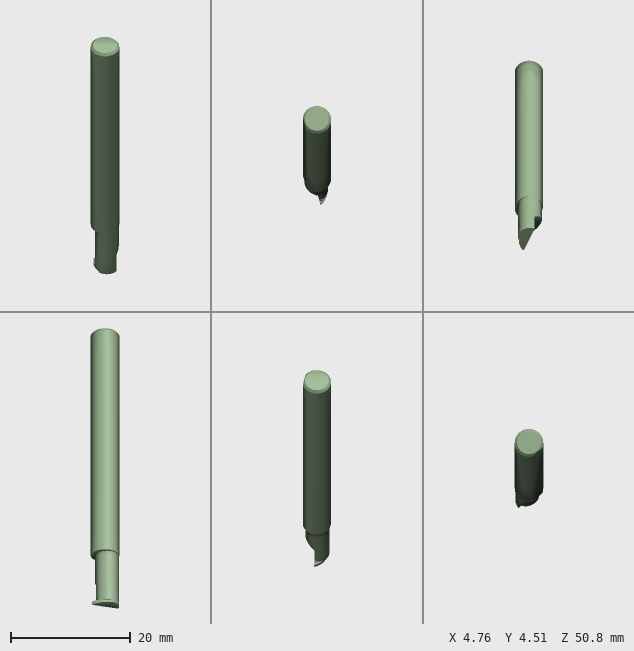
import cadquery as cq
import math

total_length = 50.79
shank_diameter = 4.76
shank_depth = 4.51
shank_chamfer = 0.4
shank_radius = shank_diameter / 2
flat_y = shank_depth - shank_radius

neck_length = 9.55
neck_diameter = 4.0
neck_radius = neck_diameter / 2
neck_x = shank_radius - neck_radius

rake_face_height = 3.75
runout_angle = 45

tooth_tip_x = -shank_radius
tooth_top_z = 0.6
tooth_corner = 0.18
low_corner_x = tooth_tip_x + tooth_corner
root_rise = 0.3
root_run = 0.25
root_depth = 0.7
bottom_slope_x = 1.5
bottom_slope_y = 2.0
clearance_start = math.radians(225)
flank_bulge = 0.1
bottom_cut_width = 3 * shank_diameter
outer_margin = 1.0


def make_shank():
    length = total_length - neck_length
    shank = cq.Workplane("XY").workplane(offset=neck_length).circle(shank_radius).extrude(length)
    shank = shank.faces(">Z").chamfer(shank_chamfer)
    flat_cut = (
        cq.Workplane("XY")
        .box(shank_diameter, shank_radius, total_length, centered=(True, False, False))
        .translate((0, flat_y, neck_length))
    )
    return shank.cut(flat_cut)


def make_neck():
    neck = cq.Workplane("XY").center(neck_x, 0).circle(neck_radius).extrude(neck_length)
    reach = neck_radius + outer_margin
    runout_top = rake_face_height + reach * math.tan(math.radians(runout_angle))
    rake_cut = (
        cq.Workplane("YZ")
        .polyline([(0, -outer_margin), (0, rake_face_height), (reach, runout_top), (reach, -outer_margin)])
        .close()
        .extrude(shank_diameter, both=True)
    )
    return neck.cut(rake_cut)


flank_end = (
    neck_x + neck_radius * math.cos(clearance_start),
    neck_radius * math.sin(clearance_start),
)
clearance_end = (neck_x, -neck_radius)


def make_clearance_cut():
    """Chord-shaped clearance on the back of the tooth."""
    return (
        cq.Workplane("XY")
        .moveTo(*flank_end)
        .lineTo(*clearance_end)
        .lineTo(clearance_end[0], clearance_end[1] - outer_margin)
        .lineTo(flank_end[0], clearance_end[1] - outer_margin)
        .close()
        .extrude(tooth_top_z)
    )


def make_tooth_plan(height):
    """Prism with the tooth's outline in plan, from Z = 0 upward."""
    flank_mid = (
        (tooth_tip_x + flank_end[0]) / 2 - flank_bulge,
        flank_end[1] / 2 - flank_bulge,
    )
    return (
        cq.Workplane("XY")
        .moveTo(tooth_tip_x, 0)
        .threePointArc(flank_mid, flank_end)
        .lineTo(*clearance_end)
        .lineTo(neck_x, 0)
        .close()
        .extrude(height)
    )


def make_tooth():
    profile = (
        cq.Workplane("XZ")
        .moveTo(tooth_tip_x, tooth_corner)
        .lineTo(low_corner_x, 0)
        .lineTo(neck_x, 0)
        .lineTo(neck_x, tooth_top_z)
        .lineTo(low_corner_x, tooth_top_z)
        .lineTo(tooth_tip_x, tooth_top_z - tooth_corner)
        .close()
        .extrude(neck_radius)
    )
    return make_tooth_plan(tooth_top_z).intersect(profile)


def make_tooth_root():
    """Small wedge on top of the tooth, rising to the neck and fading out away from the rake face."""
    neck_left_x = neck_x - neck_radius
    root_start_x = neck_left_x - root_run
    root_top_z = tooth_top_z + root_rise
    ramp = (
        cq.Workplane("XZ")
        .moveTo(root_start_x, tooth_top_z)
        .lineTo(neck_x, tooth_top_z)
        .lineTo(neck_x, root_top_z)
        .lineTo(neck_left_x, root_top_z)
        .close()
        .extrude(root_depth)
    )
    fade = (
        cq.Workplane("YZ")
        .workplane(offset=root_start_x)
        .polyline([(0, tooth_top_z), (0, root_top_z), (-root_depth, tooth_top_z)])
        .close()
        .extrude(neck_x - root_start_x)
    )
    return ramp.intersect(fade).intersect(make_tooth_plan(root_top_z))


def make_bottom_cut():
    """Block below the end face, tilted about the low corner of the tooth."""
    return (
        cq.Workplane("XY")
        .box(bottom_cut_width, bottom_cut_width, outer_margin, centered=(True, True, False))
        .translate((0, 0, -outer_margin))
        .rotate((0, 0, 0), (0, 1, 0), -bottom_slope_x)
        .rotate((0, 0, 0), (1, 0, 0), -bottom_slope_y)
        .translate((low_corner_x, 0, 0))
    )


neck = make_neck().cut(make_clearance_cut())
tooth = make_tooth().union(make_tooth_root())
result = make_shank().union(neck).union(tooth).cut(make_bottom_cut())